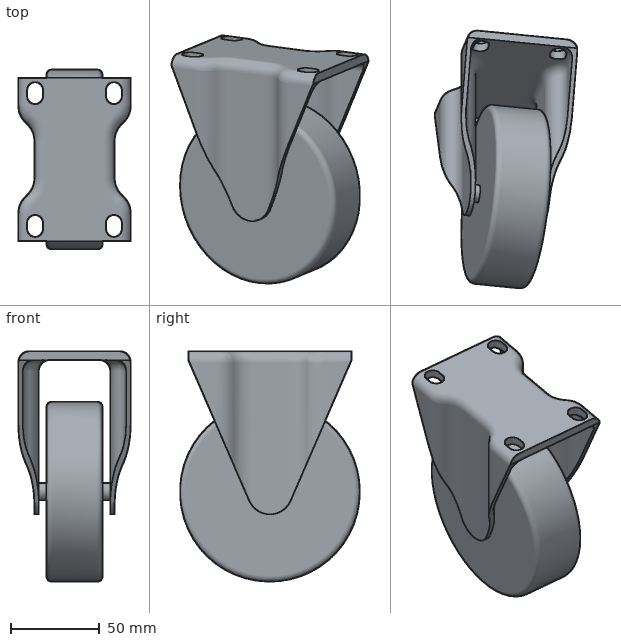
import cadquery as cq
import math

wheel_diameter = 101.7
wheel_width = 31.8
wheel_edge_radius = 3.1
axle_diameter = 9.9
axle_height = wheel_diameter / 2

bracket_top = 130.2
bracket_width = 63.5
bracket_length = 92.2
waist_width = 45.4
waist_length = 21.6
wall_thickness = 2.6
plate_thickness = 5.1
outer_bend_radius = 6.4
inner_bend_radius = 6.0
jog_radius = 12.6
jog_angle = 45.0
foot_radius = 12.8

slot_width = 8.9
slot_length = 12.2
slot_spacing_x = 44.5
slot_spacing_y = 75.0

blank_overrun = 6.5
blank_height = bracket_top - axle_height + foot_radius + blank_overrun


def outer_blank():
    """Solid block with the hourglass plan of the walls' outer surfaces."""
    wing_x = bracket_width / 2
    waist_x = waist_width / 2
    end_y = bracket_length / 2 + blank_overrun

    jog_slope = math.radians(jog_angle)
    waist_corner_y = waist_length / 2 + jog_radius * math.tan(jog_slope / 2)
    wing_corner_y = waist_corner_y + (wing_x - waist_x) / math.tan(jog_slope)

    right_side = [
        (wing_x, -end_y),
        (wing_x, -wing_corner_y),
        (waist_x, -waist_corner_y),
        (waist_x, waist_corner_y),
        (wing_x, wing_corner_y),
        (wing_x, end_y),
    ]
    left_side = [(-x, -y) for x, y in right_side]
    block = (
        cq.Workplane("XY", origin=(0, 0, bracket_top - blank_height))
        .polyline(right_side + left_side)
        .close()
        .extrude(blank_height)
    )
    jog_corners = cq.selectors.BoxSelector(
        (-bracket_width, -end_y + blank_overrun, 0),
        (bracket_width, end_y - blank_overrun, bracket_top),
    )
    return block.edges("|Z").edges(jog_corners).fillet(jog_radius)


def inner_blank(outer):
    """Block that fills the space between the walls, under the plate."""
    return (
        outer.faces("<Z")
        .wires()
        .toPending()
        .offset2D(-wall_thickness)
        .extrude(blank_height - plate_thickness, combine=False)
    )


def round_top_sides(block, radius):
    """Rounds the top edges along the walls, leaving the two straight ends sharp."""
    return block.faces(">Z").edges("not |X").fillet(radius)


def wall_profile():
    """Side outline of the bracket, tapering to the round foot, extruded across its width."""
    half_length = bracket_length / 2
    plate_bottom = bracket_top - plate_thickness

    corner_rise = plate_bottom - axle_height
    corner_distance = math.hypot(half_length, corner_rise)
    corner_angle = math.atan2(corner_rise, half_length)
    tangent_angle = corner_angle - math.acos(foot_radius / corner_distance)
    tangent_y = foot_radius * math.cos(tangent_angle)
    tangent_z = axle_height + foot_radius * math.sin(tangent_angle)

    return (
        cq.Workplane("YZ")
        .moveTo(-half_length, bracket_top)
        .lineTo(-half_length, plate_bottom)
        .lineTo(-tangent_y, tangent_z)
        .threePointArc((0, axle_height - foot_radius), (tangent_y, tangent_z))
        .lineTo(half_length, plate_bottom)
        .lineTo(half_length, bracket_top)
        .close()
        .extrude(bracket_width, both=True)
    )


def mounting_slots():
    """Four slots that go down through the plate and its inner bend."""
    return (
        cq.Workplane("XY", origin=(0, 0, bracket_top))
        .rect(slot_spacing_x, slot_spacing_y, forConstruction=True)
        .vertices()
        .slot2D(slot_length, slot_width, angle=90)
        .extrude(-(plate_thickness + inner_bend_radius))
    )


def make_bracket():
    outer = outer_blank()
    cavity = round_top_sides(inner_blank(outer), inner_bend_radius)
    shell = round_top_sides(outer, outer_bend_radius).cut(cavity)
    return shell.intersect(wall_profile()).cut(mounting_slots())


def axle_cylinder(diameter, length):
    """Cylinder around the axle line, centred across the caster."""
    return (
        cq.Workplane("YZ", origin=(-length / 2, 0, axle_height))
        .circle(diameter / 2)
        .extrude(length)
    )


def make_wheel():
    """Wheel with an axle stub on each side that reaches the inner face of the waist wall."""
    axle_length = waist_width - 2 * wall_thickness
    disc = axle_cylinder(wheel_diameter, wheel_width).edges("%CIRCLE").fillet(wheel_edge_radius)
    return disc.union(axle_cylinder(axle_diameter, axle_length))


bracket = make_bracket()
wheel = make_wheel()

result = cq.Compound.makeCompound([bracket.val(), wheel.val()])